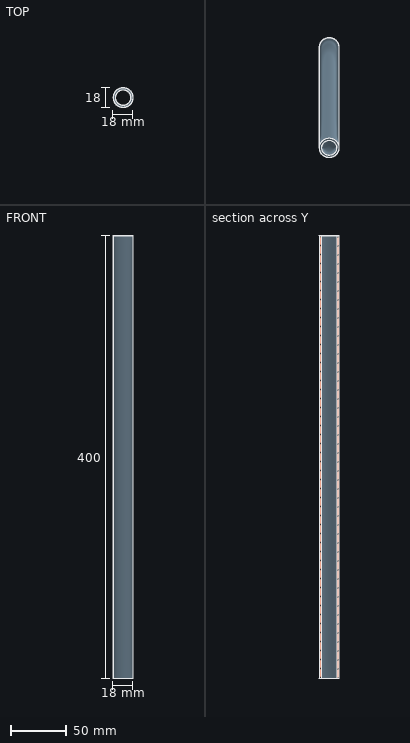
import cadquery as cq

OUTER_DIAMETER = 18.0
WALL_THICKNESS = 2.15
LENGTH = 400.0

inner_diameter = OUTER_DIAMETER - 2 * WALL_THICKNESS


def make_tube():
    """Ring section extruded upward from the base plane."""
    section = cq.Workplane("XY").circle(OUTER_DIAMETER / 2).circle(inner_diameter / 2)
    return section.extrude(LENGTH)


result = make_tube()